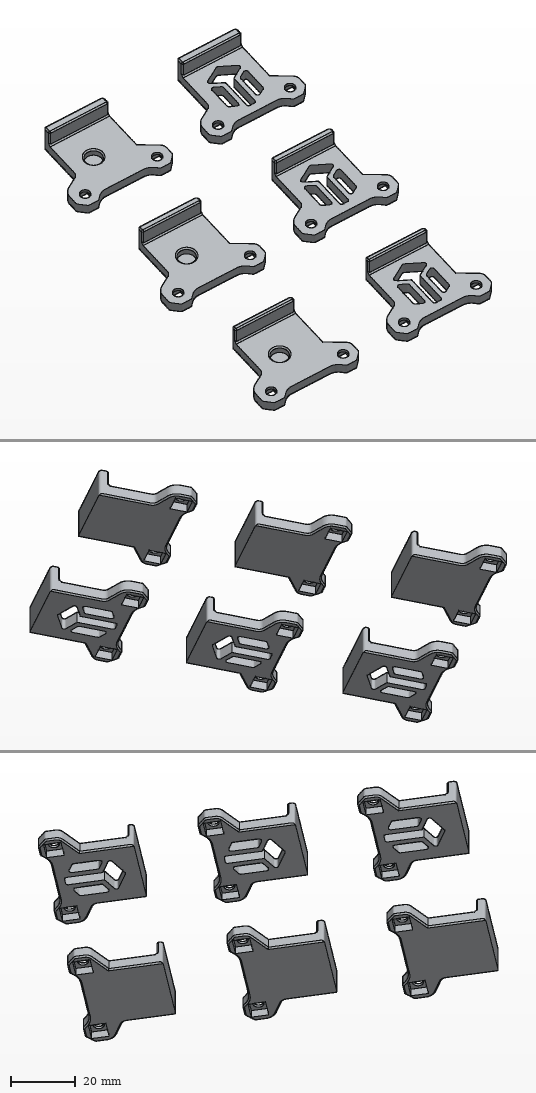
import cadquery as cq
import math

PITCH = 50.0
LIP_THICKNESSES = [3.0, 2.5, 2.0]

PLATE_THICKNESS = 4.0
PLATE_WIDTH = 22.4
PLATE_END_X = 24.6

EAR_X = 22.7
EAR_Y = 13.5
EAR_APOTHEM = 4.5
EAR_HOLE_DIAMETER = 3.5
NUT_POCKET_SIDE = 5.5
NUT_POCKET_DEPTH = 3.0
EAR_CORNER_RADIUS = 1.0
EAR_ROOT_RADIUS = 4.7

BACK_FLANK_START_X = 15.0
BACK_FLANK_ANGLE = 54
BACK_FLANK_TOP_RADIUS = 2.6
FRONT_FLANK_START_X = 14.7
FRONT_FLANK_ANGLE = 60
FRONT_FLANK_ROOT_RADIUS = 2.0
FRONT_FLANK_TOP_RADIUS = 4.0

LIP_HEIGHT = 10.0
LIP_CORNER_RADIUS = 1.0
EDGE_CHAMFER = 0.5

RECESS_DIAMETER = 6.0
RECESS_DEPTH = 2.5
RECESS_X = 11.6
RECESS_Y = -2.6

OPENING_ANGLE = 60
OPENING_CORNER_RADIUS = 0.8

ARROW_TIP_X = 2.6
ARROW_WING_X = 6.5
ARROW_STEM_HALF_WIDTH = 1.5
ARROW_STEM_END_X = 21.6

SLOT_INNER_Y = 3.3
SLOT_OUTER_Y = 6.8
SLOT_START_X = 10.4
SLOT_LENGTH = 9.8


def rounded_outline(corners):
    """Closed outline through (x, y, radius) corners, each rounded by a tangent arc of its radius."""
    starts = []
    middles = []
    ends = []
    for i, (x, y, radius) in enumerate(corners):
        corner = cq.Vector(x, y)
        before = corners[i - 1]
        after = corners[(i + 1) % len(corners)]
        to_before = (cq.Vector(before[0], before[1]) - corner).normalized()
        to_after = (cq.Vector(after[0], after[1]) - corner).normalized()
        half_angle = to_before.getAngle(to_after) / 2
        tangent_length = radius / math.tan(half_angle)
        bisector = (to_before + to_after).normalized()
        starts.append(corner + to_before * tangent_length)
        middles.append(corner + bisector * (radius / math.sin(half_angle) - radius))
        ends.append(corner + to_after * tangent_length)

    outline = cq.Workplane("XY").moveTo(ends[-1].x, ends[-1].y)
    for (_, _, radius), start, middle, end in zip(corners, starts, middles, ends):
        outline = outline.lineTo(start.x, start.y)
        if radius > 0:
            outline = outline.threePointArc((middle.x, middle.y), (end.x, end.y))
    return outline.close()


def ear_corners(side):
    """Corners of the free octagon sides of one ear, from the plate end outwards; side is +1 or -1."""
    half_side = EAR_APOTHEM * math.tan(math.pi / 8)
    ear_end_x = EAR_X + EAR_APOTHEM
    root_drop = half_side + ear_end_x - PLATE_END_X
    return [
        (PLATE_END_X, side * (EAR_Y - root_drop), EAR_ROOT_RADIUS),
        (ear_end_x, side * (EAR_Y - half_side), EAR_CORNER_RADIUS),
        (ear_end_x, side * (EAR_Y + half_side), EAR_CORNER_RADIUS),
        (EAR_X + half_side, side * (EAR_Y + EAR_APOTHEM), EAR_CORNER_RADIUS),
    ]


def flank_corners(side, start_x, angle, root_radius, top_radius):
    """Corners of one flank, from the ear's outer edge down to the plate's long side."""
    plate_y = PLATE_WIDTH / 2
    ear_y = EAR_Y + EAR_APOTHEM
    top_x = start_x + (ear_y - plate_y) / math.tan(math.radians(angle))
    return [(top_x, side * ear_y, top_radius), (start_x, side * plate_y, root_radius)]


def plate(lip_thickness):
    """Plate with both ears, chamfered along its underside except below the lip's outer face."""
    plate_y = PLATE_WIDTH / 2
    front_flank = flank_corners(
        -1, FRONT_FLANK_START_X, FRONT_FLANK_ANGLE, FRONT_FLANK_ROOT_RADIUS, FRONT_FLANK_TOP_RADIUS
    )
    back_flank = flank_corners(1, BACK_FLANK_START_X, BACK_FLANK_ANGLE, 0, BACK_FLANK_TOP_RADIUS)
    corners = [
        (-lip_thickness, plate_y, 0),
        (-lip_thickness, -plate_y, 0),
        *reversed(front_flank),
        *reversed(ear_corners(-1)),
        *ear_corners(1),
        *back_flank,
    ]
    body = rounded_outline(corners).extrude(PLATE_THICKNESS)
    return body.faces("<Z").edges("not <X").chamfer(EDGE_CHAMFER)


def lip(thickness):
    """Upright wall above the plate, with chamfered inner edges."""
    height = LIP_HEIGHT - PLATE_THICKNESS
    return (
        cq.Workplane("XY", origin=(-thickness, 0, PLATE_THICKNESS))
        .box(thickness, PLATE_WIDTH, height, centered=(False, True, False))
        .edges("|Z and >X").chamfer(EDGE_CHAMFER)
    )


def lip_root():
    """45 degree wedge in the inside corner between the lip and the plate."""
    return (
        cq.Workplane("XZ")
        .moveTo(-EDGE_CHAMFER, PLATE_THICKNESS)
        .lineTo(EDGE_CHAMFER, PLATE_THICKNESS)
        .lineTo(-EDGE_CHAMFER, PLATE_THICKNESS + 2 * EDGE_CHAMFER)
        .close()
        .extrude(PLATE_WIDTH / 2, both=True)
    )


def ear_holes():
    """Screw holes through both ears, each with a square nut pocket in the underside."""
    ear_centres = cq.Workplane("XY").pushPoints([(EAR_X, EAR_Y), (EAR_X, -EAR_Y)])
    screw_holes = ear_centres.circle(EAR_HOLE_DIAMETER / 2).extrude(PLATE_THICKNESS)
    nut_pockets = ear_centres.rect(NUT_POCKET_SIDE, NUT_POCKET_SIDE).extrude(NUT_POCKET_DEPTH)
    return screw_holes.union(nut_pockets)


def bracket(lip_thickness):
    body = plate(lip_thickness).union(lip(lip_thickness))
    body = body.edges("|Z and <X").fillet(LIP_CORNER_RADIUS)
    body = body.faces(">Z").chamfer(EDGE_CHAMFER)
    return body.union(lip_root()).cut(ear_holes())


def recess():
    """Blind round recess, widened by a chamfer at the plate's top face."""
    radius = RECESS_DIAMETER / 2
    floor_z = PLATE_THICKNESS - RECESS_DEPTH
    return (
        cq.Workplane("XZ", origin=(RECESS_X, RECESS_Y, 0))
        .moveTo(0, floor_z)
        .lineTo(radius, floor_z)
        .lineTo(radius, PLATE_THICKNESS - EDGE_CHAMFER)
        .lineTo(radius + EDGE_CHAMFER, PLATE_THICKNESS)
        .lineTo(0, PLATE_THICKNESS)
        .close()
        .revolve(360, (0, 0, 0), (0, 1, 0))
    )


def arrow_opening():
    slope = math.tan(math.radians(OPENING_ANGLE))
    wing_y = (ARROW_WING_X - ARROW_TIP_X) * slope
    neck_x = ARROW_WING_X + (wing_y - ARROW_STEM_HALF_WIDTH) / slope
    corners = [
        (ARROW_TIP_X, 0, OPENING_CORNER_RADIUS),
        (ARROW_WING_X, -wing_y, OPENING_CORNER_RADIUS),
        (neck_x, -ARROW_STEM_HALF_WIDTH, 0),
        (ARROW_STEM_END_X, -ARROW_STEM_HALF_WIDTH, OPENING_CORNER_RADIUS),
        (ARROW_STEM_END_X, ARROW_STEM_HALF_WIDTH, OPENING_CORNER_RADIUS),
        (neck_x, ARROW_STEM_HALF_WIDTH, 0),
        (ARROW_WING_X, wing_y, OPENING_CORNER_RADIUS),
    ]
    return rounded_outline(corners).extrude(PLATE_THICKNESS)


def side_slot():
    """Slot on the +Y side of the arrow's stem."""
    slant = (SLOT_OUTER_Y - SLOT_INNER_Y) / math.tan(math.radians(OPENING_ANGLE))
    end_x = SLOT_START_X + SLOT_LENGTH
    corners = [
        (SLOT_START_X, SLOT_INNER_Y, OPENING_CORNER_RADIUS),
        (end_x, SLOT_INNER_Y, OPENING_CORNER_RADIUS),
        (end_x - slant, SLOT_OUTER_Y, OPENING_CORNER_RADIUS),
        (SLOT_START_X - slant, SLOT_OUTER_Y, OPENING_CORNER_RADIUS),
    ]
    return rounded_outline(corners).extrude(PLATE_THICKNESS)


def recessed_bracket(lip_thickness):
    return bracket(lip_thickness).cut(recess())


def arrow_bracket(lip_thickness):
    slot = side_slot()
    return bracket(lip_thickness).cut(arrow_opening()).cut(slot).cut(slot.mirror("XZ"))


recessed_brackets = []
arrow_brackets = []
for column, lip_thickness in enumerate(LIP_THICKNESSES):
    column_x = column * PITCH
    recessed_brackets.append(recessed_bracket(lip_thickness).translate((column_x, 0, 0)).val())
    arrow_brackets.append(arrow_bracket(lip_thickness).translate((column_x, PITCH, 0)).val())

result = cq.Compound.makeCompound([*recessed_brackets, *arrow_brackets])